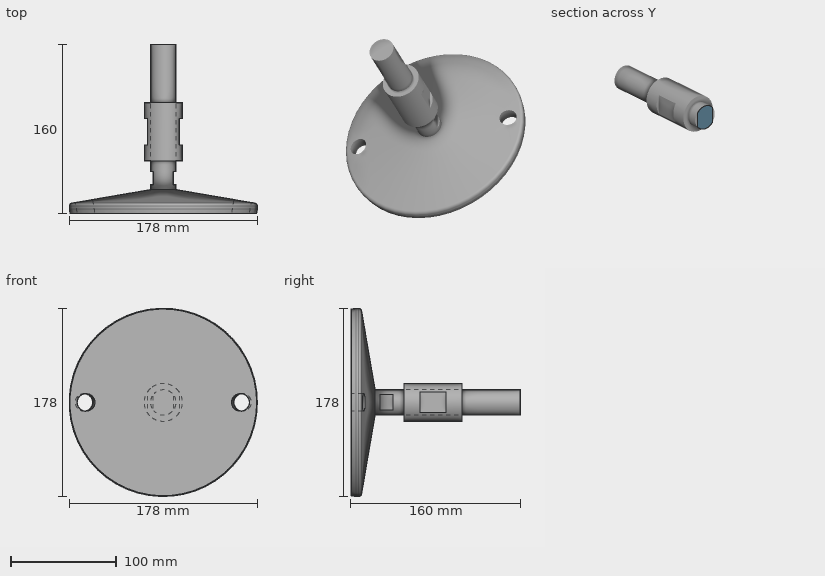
import cadquery as cq
import math


base_radius = 89.0
ground_radius = 88.3
taper_height = 4.3
rim_corner_height = 9.5
rim_round = 3.0
cone_top = 22.6

spindle_diameter = 24.0
spindle_radius = spindle_diameter / 2
spindle_top = 160.0
spindle_flat_width = 19.0
spindle_flat_start = 27.2
spindle_flat_length = 12.5

sleeve_diameter = 36.0
sleeve_start = 49.8
sleeve_length = 55.0
sleeve_flat_width = 30.3
sleeve_flat_length = 25.0
sleeve_flat_start = sleeve_start + (sleeve_length - sleeve_flat_length) / 2

hole_diameter = 16.5
hole_offset = 73.0
cone_angle = math.atan2(cone_top - rim_corner_height, base_radius - spindle_radius)


def cylinder_along_y(diameter, start, length):
    axis = cq.Vector(0, 1, 0)
    return cq.Workplane(cq.Solid.makeCylinder(diameter / 2, length, cq.Vector(0, start, 0), axis))


def cut_wrench_flats(body, diameter, width, start, length):
    """Cut two opposite flats, facing -X and +X, leaving the given width between them."""
    band = cq.Workplane().box(diameter, length, diameter)
    core = cq.Workplane().box(width, length, diameter)
    cutter = band.cut(core).translate((0, start + length / 2, 0))
    return body.cut(cutter)


def cut_anchor_holes(body):
    for side in (-1, 1):
        direction = cq.Vector(side * math.sin(cone_angle), math.cos(cone_angle), 0)
        ground_point = cq.Vector(side * hole_offset, 0, 0)
        start = ground_point - direction * cone_top
        drill = cq.Solid.makeCylinder(hole_diameter / 2, 2 * cone_top, start, direction)
        body = body.cut(cq.Workplane(drill))
    return body


def make_foot():
    """Conical base plate in one piece with its spindle."""
    mid_angle = (math.pi / 2 - cone_angle) / 2
    round_start = rim_corner_height - rim_round * math.tan(mid_angle)
    round_center_x = base_radius - rim_round
    round_mid = (
        round_center_x + rim_round * math.cos(mid_angle),
        round_start + rim_round * math.sin(mid_angle),
    )
    round_end = (
        round_center_x + rim_round * math.sin(cone_angle),
        round_start + rim_round * math.cos(cone_angle),
    )
    foot = (
        cq.Workplane("XY")
        .lineTo(ground_radius, 0)
        .lineTo(base_radius, taper_height)
        .lineTo(base_radius, round_start)
        .threePointArc(round_mid, round_end)
        .lineTo(spindle_radius, cone_top)
        .lineTo(spindle_radius, spindle_top)
        .lineTo(0, spindle_top)
        .close()
        .revolve(360, (0, 0), (0, 1))
    )
    foot = cut_anchor_holes(foot)
    return cut_wrench_flats(
        foot, spindle_diameter, spindle_flat_width, spindle_flat_start, spindle_flat_length
    )


def make_sleeve():
    """Long sleeve nut, bored to fit around the spindle."""
    sleeve = cylinder_along_y(sleeve_diameter, sleeve_start, sleeve_length)
    bore = cylinder_along_y(spindle_diameter, sleeve_start, sleeve_length)
    return cut_wrench_flats(
        sleeve.cut(bore), sleeve_diameter, sleeve_flat_width, sleeve_flat_start, sleeve_flat_length
    )


foot = make_foot()
sleeve = make_sleeve()

result = cq.Compound.makeCompound([foot.solids().val(), sleeve.solids().val()])